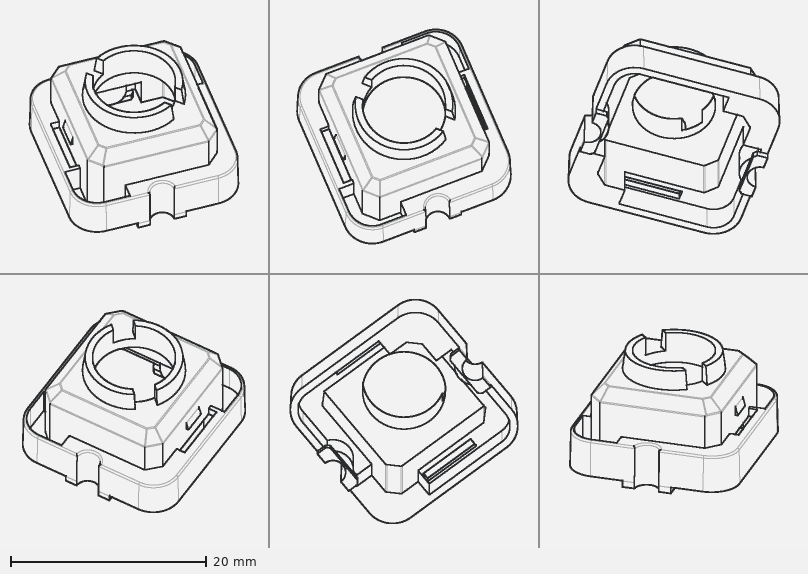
import cadquery as cq

BASE_X = 18.5
BASE_Y = 18.1
BASE_CORNER_R = 3.0
BASE_BOTTOM = 0.7
BASE_TOP = 4.7
BASE_DRAFT = 1.3
RIM_FILLET = 0.2
PLATE_BOTTOM = 3.8
WALL = 0.8

NOTCH_R = 1.3
FOOT_X = 1.45
FOOT_Y = 5.2
FOOT_CHAMFER = 0.33

POCKET_FLOOR = 1.7
POCKET_WALL = 0.42
POCKET_INNER_X = 3.62
POCKET_INNER_Y = 3.34

HOUSING_X = 14.6
HOUSING_Y = 14.0
HOUSING_CORNER = 1.35
HOUSING_TOP = 9.67
BEVEL_WIDTH = 1.35
BEVEL_HEIGHT = 1.25
EDGE_FILLET = 0.18
CEILING = 8.35
HOUSING_WALL_X = 0.8
HOUSING_WALL_Y = 0.6
INNER_CORNER = 1.15
INNER_FILLET = 0.2

COLLAR_TOP = 11.7
COLLAR_BOTTOM_R = 5.28
COLLAR_TOP_R = 5.0
BORE_D = 8.5
COLLAR_GAP = 2.32
COLLAR_GAP_ANGLE = 45

WINDOW_X = 6.34
WINDOW_OUTER_Y = 7.95
WEDGE_X = 2.5
WEDGE_BOTTOM = 5.9
WEDGE_TOP = 6.9
WEDGE_DEPTH = 0.25


def block(x_min, x_max, y_min, y_max, z_min, z_max):
    size = (x_max - x_min, y_max - y_min, z_max - z_min)
    return cq.Workplane("XY").box(*size, centered=False).translate((x_min, y_min, z_min))


def base_prism(inset, z_min, z_max, draft=0):
    """Rounded rectangle of the base, moved inwards by inset."""
    outline = (
        cq.Sketch()
        .rect(BASE_X - 2 * inset, BASE_Y - 2 * inset)
        .vertices()
        .fillet(BASE_CORNER_R - inset)
    )
    return cq.Workplane("XY").workplane(offset=z_min).placeSketch(outline).extrude(z_max - z_min, taper=draft)


def eight_sided_prism(size_x, size_y, corner, z_min, z_max):
    return (
        cq.Workplane("XY")
        .workplane(offset=z_min)
        .rect(size_x, size_y)
        .extrude(z_max - z_min)
        .edges("|Z")
        .chamfer(corner)
    )


def housing_prism(z_min, z_max):
    """Outer form of the housing, without its top bevel."""
    return eight_sided_prism(HOUSING_X, HOUSING_Y, HOUSING_CORNER, z_min, z_max)


def side_cylinders(radius, z_min, z_max):
    """Upright cylinders centred on the two X sides of the base."""
    return (
        cq.Workplane("XY")
        .workplane(offset=z_min)
        .pushPoints([(-BASE_X / 2, 0), (BASE_X / 2, 0)])
        .circle(radius)
        .extrude(z_max - z_min)
    )


def both_ends(shape):
    """The shape together with its copy turned half a turn about Z."""
    return shape.union(shape.rotate((0, 0, 0), (0, 0, 1), 180))


def make_base():
    base = base_prism(0, BASE_BOTTOM, BASE_TOP, BASE_DRAFT)
    base = base.cut(side_cylinders(NOTCH_R, BASE_BOTTOM, BASE_TOP))
    return base.faces(">Z").edges().fillet(RIM_FILLET)


def make_foot():
    """Left foot, astride the notch."""
    outer_x = -BASE_X / 2
    foot = block(outer_x, outer_x + FOOT_X, -FOOT_Y / 2, FOOT_Y / 2, 0, BASE_BOTTOM)
    return foot.edges("|Z and >X").chamfer(FOOT_CHAMFER)


def corner_block(inset, margin, z_min, z_max):
    """Corner of the base at -X, +Y, with its inner sides moved inwards by margin."""
    corner = block(
        -BASE_X / 2, -POCKET_INNER_X + margin,
        POCKET_INNER_Y - margin, BASE_Y / 2,
        z_min, z_max,
    )
    return corner.intersect(base_prism(inset, z_min, z_max))


def make_housing():
    housing = housing_prism(PLATE_BOTTOM, HOUSING_TOP)
    housing = housing.faces(">Z").chamfer(BEVEL_HEIGHT, BEVEL_WIDTH)
    bevel_edges = cq.selectors.BoxSelector(
        (-HOUSING_X, -HOUSING_Y, HOUSING_TOP - BEVEL_HEIGHT - EDGE_FILLET),
        (HOUSING_X, HOUSING_Y, HOUSING_TOP + EDGE_FILLET),
    )
    return housing.edges(bevel_edges).fillet(EDGE_FILLET)


def make_collar():
    height = COLLAR_TOP - HOUSING_TOP
    cone = cq.Workplane(cq.Solid.makeCone(COLLAR_BOTTOM_R, COLLAR_TOP_R, height))
    gap = (
        cq.Workplane("XY")
        .box(3 * COLLAR_BOTTOM_R, COLLAR_GAP, height, centered=(True, True, False))
        .rotate((0, 0, 0), (0, 0, 1), COLLAR_GAP_ANGLE)
    )
    return cone.cut(gap).translate((0, 0, HOUSING_TOP))


def make_wedge():
    """Latch wedge on the -Y side of the housing."""
    face_y = -HOUSING_Y / 2
    root_y = face_y + HOUSING_WALL_Y / 2
    return (
        cq.Workplane("YZ")
        .polyline([
            (root_y, WEDGE_BOTTOM),
            (face_y - WEDGE_DEPTH, WEDGE_BOTTOM),
            (face_y, WEDGE_TOP),
            (root_y, WEDGE_TOP),
        ])
        .close()
        .extrude(WEDGE_X / 2, both=True)
    )


def make_cavity():
    """Hollow of the base around the pockets and notches, and of the housing above it."""
    hollow = base_prism(WALL, BASE_BOTTOM, PLATE_BOTTOM)
    hollow = hollow.cut(both_ends(corner_block(0, POCKET_WALL, BASE_BOTTOM, PLATE_BOTTOM)))
    hollow = hollow.cut(side_cylinders(NOTCH_R + WALL, BASE_BOTTOM, PLATE_BOTTOM))
    chamber = eight_sided_prism(
        HOUSING_X - 2 * HOUSING_WALL_X,
        HOUSING_Y - 2 * HOUSING_WALL_Y,
        INNER_CORNER, BASE_BOTTOM, CEILING,
    )
    return hollow.union(chamber.edges("|Z").fillet(INNER_FILLET))


def make_window():
    """Opening on the -Y side, between the housing and the base wall."""
    return block(-WINDOW_X / 2, WINDOW_X / 2, -WINDOW_OUTER_Y, -HOUSING_Y / 2, BASE_BOTTOM, BASE_TOP)


def make_pocket():
    """Sunken corner at -X, +Y, outside the housing."""
    corner = corner_block(POCKET_WALL, 0, POCKET_FLOOR, BASE_TOP)
    return corner.cut(housing_prism(POCKET_FLOOR, BASE_TOP))


base = make_base().cut(both_ends(make_pocket())).cut(both_ends(make_window()))
feet = both_ends(make_foot()).cut(side_cylinders(NOTCH_R, 0, BASE_BOTTOM))
bore = cq.Workplane("XY").circle(BORE_D / 2).extrude(COLLAR_TOP)

result = base.union(make_housing()).union(make_collar()).union(both_ends(make_wedge()))
result = result.cut(make_cavity()).cut(bore).union(feet)